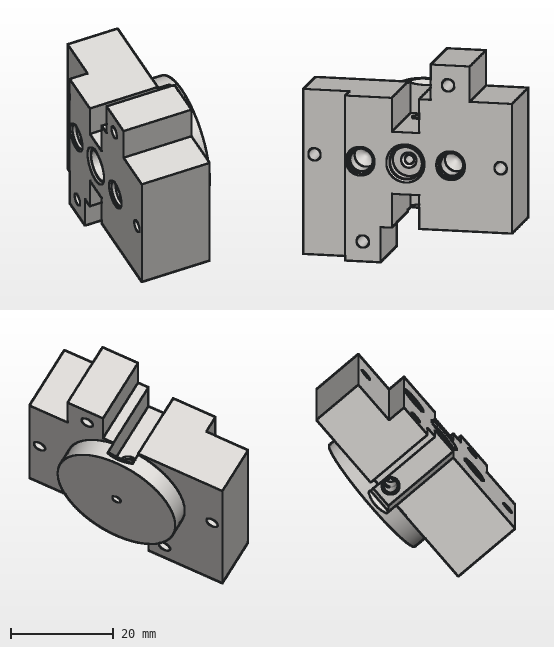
import cadquery as cq
import math

width = 42.5
block_height = 25.9
full_height = 40.0
block_depth = 14.55
full_depth = 18.5
disc_dia = block_height
half_width = width / 2
half_block = block_height / 2
half_full = full_height / 2

top_ear_left = 5.0
top_ear_right = 12.85
foot_right = -4.95

step_x = -12.02
step_depth = 3.82

slot_width = 5.45
slot_floor = 6.2
slot_end = 16.6
relief_axis_y = 5.1
relief_start_z = 11.95
relief_rise = 1.7

mount_dia = 2.45
side_mount_x = 19.0
ear_mount_x = 8.5
ear_mount_z = 16.0
cross_dia = 2.75
cross_rim_dia = 3.5
cross_y = 13.7
pilot_dia = 1.83
pilot_rim_dia = 3.05
bore_dia = 6.35
bore_rim_dia = 7.6
bore_lip_dia = 6.63
bore_depth = 2.97
socket_x = 9.0
socket_dia = 4.5
socket_taper_dia = 5.0
socket_rim_dia = 5.75
socket_taper_depth = 1.1
socket_depth = 5.1
drill_half_angle = math.radians(59)


def box(x0, x1, y0, y1, z0, z1):
    """Box between opposite corners."""
    return cq.Workplane("XY").box(x1 - x0, y1 - y0, z1 - z0, centered=False).translate((x0, y0, z0))


def turned(profile, x=0):
    """Solid of revolution about a Y-parallel axis; profile points are (radius, y)."""
    return cq.Workplane("XY").polyline(profile).close().revolve(360, (0, 0), (0, 1)).translate((x, 0, 0))


def make_body():
    body = box(-half_width, half_width, 0, block_depth, -half_block, half_block)
    body = body.union(box(top_ear_left, top_ear_right, 0, block_depth, 0, half_full))
    body = body.union(box(-half_width, foot_right, 0, block_depth, -half_full, 0))
    disc_radius = disc_dia / 2
    disc_profile = [(0, block_depth), (disc_radius, block_depth), (disc_radius, full_depth), (0, full_depth)]
    body = body.union(turned(disc_profile))
    return body.cut(box(-half_width, step_x, 0, step_depth, -half_full, half_full))


def make_slot():
    """Upper slot with its flared end and the countersink of the cross hole."""
    half_slot = slot_width / 2
    slot = box(-half_slot, half_slot, 0, slot_end, slot_floor, half_full)
    start_radius = slot_end - relief_axis_y
    cone = cq.Solid.makeCone(
        start_radius, start_radius + relief_rise, relief_rise, cq.Vector(0, relief_axis_y, relief_start_z)
    )
    lane = box(-half_slot, half_slot, 0, full_depth, relief_start_z, half_full)
    rim_depth = (cross_rim_dia - cross_dia) / 2
    countersink = cq.Solid.makeCone(
        cross_dia / 2, cross_rim_dia / 2, rim_depth, cq.Vector(0, cross_y, slot_floor - rim_depth)
    )
    return slot.union(lane.intersect(cq.Workplane(cone))).union(cq.Workplane(countersink))


def make_center_bore():
    rim, lip, bore = (d / 2 for d in (bore_rim_dia, bore_lip_dia, bore_dia))
    pilot_rim, pilot = (d / 2 for d in (pilot_rim_dia, pilot_dia))
    return turned([
        (0, 0),
        (rim, 0),
        (lip, rim - lip),
        (bore, rim - lip),
        (bore, bore_depth),
        (pilot_rim, bore_depth),
        (pilot, bore_depth + pilot_rim - pilot),
        (pilot, full_depth),
        (0, full_depth),
    ])


def make_socket(x):
    """Blind hole with a chamfered, tapering mouth and a drill-point bottom."""
    rim, taper, drill = (d / 2 for d in (socket_rim_dia, socket_taper_dia, socket_dia))
    return turned([
        (0, 0),
        (rim, 0),
        (taper, rim - taper),
        (drill, socket_taper_depth),
        (drill, socket_depth),
        (0, socket_depth + drill / math.tan(drill_half_angle)),
    ], x)


result = make_body()

upper_slot = make_slot()
result = result.cut(upper_slot).cut(upper_slot.mirror("XY"))

result = result.cut(
    cq.Workplane("XY").center(0, cross_y).circle(cross_dia / 2).extrude(half_block, both=True)
)
result = result.cut(make_center_bore())
for side in (-1, 1):
    result = result.cut(make_socket(side * socket_x))

mount_points = [
    (side * x, side * z)
    for side in (-1, 1)
    for x, z in ((side_mount_x, 0), (ear_mount_x, ear_mount_z))
]
mount_holes = cq.Workplane("XZ").pushPoints(mount_points).circle(mount_dia / 2).extrude(-block_depth)
result = result.cut(mount_holes)